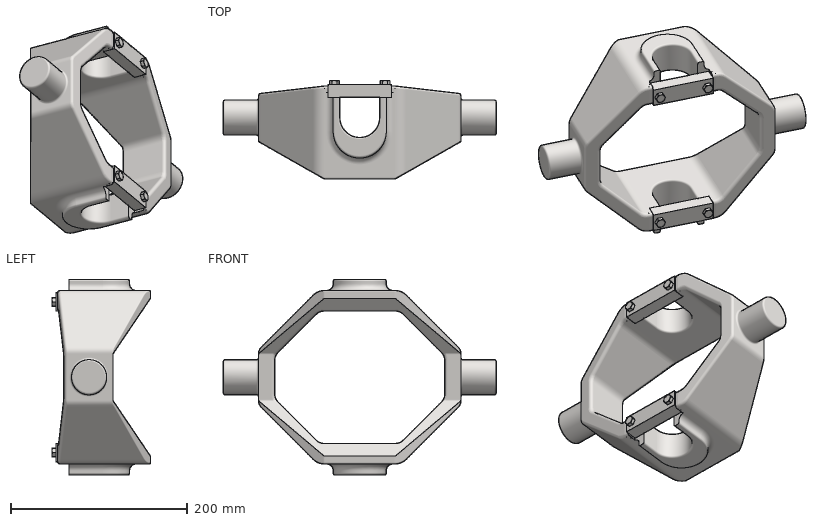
import cadquery as cq
import math

OUTER_HALF_X = 115.0
OUTER_HALF_Z = 98.5
OUTER_DIAGONAL = 146.0
INNER_HALF_X = 96.5
INNER_HALF_Z = 75.0
INNER_DIAGONAL = 121.0
OUTER_DECK_ROUND = 17.0
OUTER_SIDE_ROUND = 10.2
INNER_ROUND = 13.0

DECK_FRONT_Y = -69.8
DECK_BACK_Y = 36.0
SIDE_FRONT_Y = -27.3
SIDE_BACK_Y = 27.3
DECK_HALF_WIDTH = 40.3
LIP_BOTTOM_Z = 89.5
SIDE_FACE_HALF_Z = 26.7

EDGE_ROUND = 3.0
OPENING_ROUND = 3.7
OUTER_FRONT_ROUND = 1.5

TRUNNION_DIAMETER = 40.0
TRUNNION_END_X = 155.0
TRUNNION_ROUND = 2.2

OVERALL_HEIGHT = 222.3
BOSS_WIDTH = 60.5
BOSS_CENTER_Y = -15.8
BOSS_BACK_Y = 28.5
BOSS_FLARE = 7.5
BOSS_ROUND = 2.32
SLOT_WIDTH = 45.0
SLOT_ROUND = 2.32

PLATE_HALF_WIDTH = 36.0
PLATE_FRONT_Y = 23.0
PLATE_THICKNESS = 15.0
PLATE_TOP_Z = 96.0
BOLT_X = 28.8
BOLT_ACROSS_FLATS = 10.0
BOLT_HEAD_HEIGHT = 4.3
BOLT_CHAMFER = 0.78

TRUNNION_RADIUS = TRUNNION_DIAMETER / 2
BOSS_TOP_Z = OVERALL_HEIGHT / 2
BOSS_RADIUS = BOSS_WIDTH / 2
SLOT_RADIUS = SLOT_WIDTH / 2
PLATE_BACK_Y = PLATE_FRONT_Y + PLATE_THICKNESS
PLATE_HEIGHT = PLATE_TOP_Z - INNER_HALF_Z
PLATE_MIDDLE_Z = (PLATE_TOP_Z + INNER_HALF_Z) / 2
CUT_REACH = 2 * OUTER_HALF_X
MATCH_MARGIN = 1.5
TOLERANCE = 0.03
FACING_LIMIT = 0.3


def octagon_prism(half_x, half_z, diagonal, deck_round, side_round):
    """Octagonal prism along Y with its eight long edges rounded."""
    deck_x = diagonal - half_z
    side_z = diagonal - half_x
    corners = [
        (deck_x, half_z), (half_x, side_z), (half_x, -side_z), (deck_x, -half_z),
        (-deck_x, -half_z), (-half_x, -side_z), (-half_x, side_z), (-deck_x, half_z),
    ]
    prism = cq.Workplane("XZ").polyline(corners).close().extrude(CUT_REACH, both=True)
    deck_edges = prism.faces(">Z or <Z").edges("|Y")
    prism = deck_edges.fillet(deck_round)
    side_edges = prism.faces(">X or <X").edges("|Y")
    return side_edges.fillet(side_round)


def depth_block():
    """Block that limits the frame along Y: deep across the decks, shallow at the side walls."""
    outline = [
        (DECK_HALF_WIDTH, DECK_FRONT_Y), (OUTER_HALF_X, SIDE_FRONT_Y),
        (OUTER_HALF_X, SIDE_BACK_Y), (DECK_HALF_WIDTH, DECK_BACK_Y),
        (-DECK_HALF_WIDTH, DECK_BACK_Y), (-OUTER_HALF_X, SIDE_BACK_Y),
        (-OUTER_HALF_X, SIDE_FRONT_Y), (-DECK_HALF_WIDTH, DECK_FRONT_Y),
    ]
    block = cq.Workplane("XY").polyline(outline).close().extrude(CUT_REACH, both=True)
    return block.faces("<Y").edges("|Z").fillet(EDGE_ROUND)


def front_notch():
    """Tapered notch along X that sets the front of the frame back towards the side walls."""
    slope = (LIP_BOTTOM_Z - SIDE_FACE_HALF_Z) / (SIDE_FRONT_Y - DECK_FRONT_Y)
    overrun = EDGE_ROUND
    mouth_y = DECK_FRONT_Y - overrun
    mouth_z = LIP_BOTTOM_Z + slope * overrun
    outline = [
        (SIDE_FRONT_Y, SIDE_FACE_HALF_Z), (mouth_y, mouth_z),
        (mouth_y, -mouth_z), (SIDE_FRONT_Y, -SIDE_FACE_HALF_Z),
    ]
    notch = cq.Workplane("YZ").polyline(outline).close().extrude(CUT_REACH, both=True)
    return notch.faces(">Y").edges("|X").fillet(EDGE_ROUND)


def rim_edges(body, faces):
    """Outer boundary of a group of faces: the edges that only one of the faces owns."""
    face_edges = [edge for face in faces.vals() for edge in face.Edges()]
    rim = [edge for edge in face_edges if sum(edge.isSame(other) for other in face_edges) == 1]
    return body.newObject(rim)


def back_rim(body):
    """Rim of the faces that look to the back."""
    return rim_edges(body, body.faces().filter(lambda face: face.normalAt().y > FACING_LIMIT))


def front_rim(body):
    """Rim of the faces that look to the front."""
    return rim_edges(body, body.faces().filter(lambda face: face.normalAt().y < -FACING_LIMIT))


def on_opening_rim(edge):
    """True for an edge where the octagonal opening meets the front or back of the frame."""
    middle = edge.Center()
    is_on_rim = middle.y < SIDE_FRONT_Y / 2 or middle.y > SIDE_BACK_Y / 2
    return (
        is_on_rim
        and abs(middle.x) < INNER_HALF_X + MATCH_MARGIN
        and abs(middle.z) < INNER_HALF_Z + MATCH_MARGIN
        and abs(middle.x) + abs(middle.z) < INNER_DIAGONAL + MATCH_MARGIN
    )


def frame_ring():
    """Octagonal ring with rounded rims, tapering from the deep decks to the side walls."""
    outer = octagon_prism(
        OUTER_HALF_X, OUTER_HALF_Z, OUTER_DIAGONAL, OUTER_DECK_ROUND, OUTER_SIDE_ROUND
    )
    opening = octagon_prism(INNER_HALF_X, INNER_HALF_Z, INNER_DIAGONAL, INNER_ROUND, INNER_ROUND)
    ring = outer.intersect(depth_block())
    ring = back_rim(ring).fillet(EDGE_ROUND)
    ring = front_rim(ring).fillet(OUTER_FRONT_ROUND)
    ring = ring.cut(front_notch()).cut(opening)
    return ring.edges().filter(on_opening_rim).fillet(OPENING_ROUND)


def boss():
    """U-shaped boss on the top deck, with a concave flare at its foot."""
    foot_radius = BOSS_RADIUS + BOSS_FLARE
    root_z = (OUTER_HALF_Z + INNER_HALF_Z) / 2
    slant = math.sqrt(0.5)
    cove_middle = (foot_radius - BOSS_FLARE * slant, OUTER_HALF_Z + BOSS_FLARE * (1 - slant))
    rim_middle = (
        BOSS_RADIUS - BOSS_ROUND * (1 - slant),
        BOSS_TOP_Z - BOSS_ROUND * (1 - slant),
    )
    half_profile = (
        cq.Sketch()
        .segment((0, root_z), (foot_radius, root_z))
        .segment((foot_radius, OUTER_HALF_Z))
        .arc((foot_radius, OUTER_HALF_Z), cove_middle, (BOSS_RADIUS, OUTER_HALF_Z + BOSS_FLARE))
        .segment((BOSS_RADIUS, BOSS_TOP_Z - BOSS_ROUND))
        .arc((BOSS_RADIUS, BOSS_TOP_Z - BOSS_ROUND), rim_middle, (BOSS_RADIUS - BOSS_ROUND, BOSS_TOP_Z))
        .segment((0, BOSS_TOP_Z))
        .close()
        .assemble()
    )
    profile_plane = cq.Workplane("XZ", origin=(0, BOSS_CENTER_Y, 0)).placeSketch(half_profile)
    round_end = profile_plane.revolve(360, (0, 0, 0), (0, 1, 0))
    half_bar = profile_plane.extrude(BOSS_CENTER_Y - BOSS_BACK_Y)
    return round_end.union(half_bar).union(half_bar.mirror("YZ"))


def slot_cutter():
    """U-shaped slot through the top deck and its boss, open to the back."""
    open_end_y = PLATE_BACK_Y
    return (
        cq.Workplane("XY", origin=(0, 0, INNER_HALF_Z / 2))
        .moveTo(SLOT_RADIUS, 0)
        .lineTo(SLOT_RADIUS, open_end_y)
        .lineTo(-SLOT_RADIUS, open_end_y)
        .lineTo(-SLOT_RADIUS, 0)
        .threePointArc((0, -SLOT_RADIUS), (SLOT_RADIUS, 0))
        .close()
        .extrude(BOSS_TOP_Z)
    )


def on_slot_mouth(edge):
    """True for an edge around the outer or inner mouth of a deck slot."""
    box = edge.BoundingBox()
    is_level = box.zlen < TOLERANCE
    is_at_mouth = any(abs(abs(box.zmin) - mouth_z) < TOLERANCE for mouth_z in (BOSS_TOP_Z, INNER_HALF_Z))
    is_inside = max(abs(box.xmin), abs(box.xmax)) < SLOT_RADIUS + TOLERANCE
    return is_level and is_at_mouth and is_inside and box.ylen > TOLERANCE


def plate_recess():
    """Notch in the back of the top deck that seats a keeper plate."""
    return cq.Workplane("XY").box(
        2 * PLATE_HALF_WIDTH, PLATE_THICKNESS, BOSS_TOP_Z, centered=(True, False, False)
    ).translate((0, PLATE_FRONT_Y, INNER_HALF_Z / 2))


def on_trunnion_root(edge):
    """True for the circle where a trunnion leaves the side wall."""
    return edge.geomType() == "CIRCLE" and abs(abs(edge.Center().x) - OUTER_HALF_X) < TOLERANCE


def build_frame():
    """Ring with two trunnions, and on each deck a slotted boss with a seat for its plate."""
    frame = frame_ring()

    root_x = (INNER_HALF_X + OUTER_HALF_X) / 2
    right_trunnion = (
        cq.Workplane("YZ", origin=(root_x, 0, 0))
        .circle(TRUNNION_RADIUS)
        .extrude(TRUNNION_END_X - root_x)
        .faces(">X").edges().fillet(TRUNNION_ROUND)
    )
    frame = frame.union(right_trunnion).union(right_trunnion.mirror("YZ"))
    frame = frame.edges().filter(on_trunnion_root).fillet(TRUNNION_ROUND)

    top_boss = boss()
    top_slot = slot_cutter()
    top_recess = plate_recess()
    frame = frame.union(top_boss).union(top_boss.mirror("XY"))
    frame = frame.cut(top_slot).cut(top_slot.mirror("XY"))
    frame = frame.edges().filter(on_slot_mouth).fillet(SLOT_ROUND)
    return frame.cut(top_recess).cut(top_recess.mirror("XY")).solids()


def keeper_plate(side):
    """Plate that closes the slot of one deck: side is 1 for the top, -1 for the bottom."""
    center = (0, PLATE_FRONT_Y + PLATE_THICKNESS / 2, side * PLATE_MIDDLE_Z)
    return cq.Workplane("XY").box(2 * PLATE_HALF_WIDTH, PLATE_THICKNESS, PLATE_HEIGHT).translate(center)


def bolt(x, z):
    """Hexagonal bolt head on the back of a keeper plate, with its outer corners chamfered."""
    across_corners = BOLT_ACROSS_FLATS / math.cos(math.pi / 6)
    seat = cq.Workplane("XZ", origin=(x, PLATE_BACK_Y, z))
    hexagon = seat.polygon(6, across_corners).extrude(-BOLT_HEAD_HEIGHT)
    chamfered = seat.circle(across_corners / 2).extrude(-BOLT_HEAD_HEIGHT)
    chamfered = chamfered.faces(">Y").edges().chamfer(BOLT_CHAMFER)
    return hexagon.intersect(chamfered)


frame = build_frame()
plates = [keeper_plate(side) for side in (1, -1)]
bolts = [bolt(x, side * PLATE_MIDDLE_Z) for side in (1, -1) for x in (-BOLT_X, BOLT_X)]

result = cq.Compound.makeCompound([
    frame.val(),
    *[plate.val() for plate in plates],
    *[one_bolt.val() for one_bolt in bolts],
])